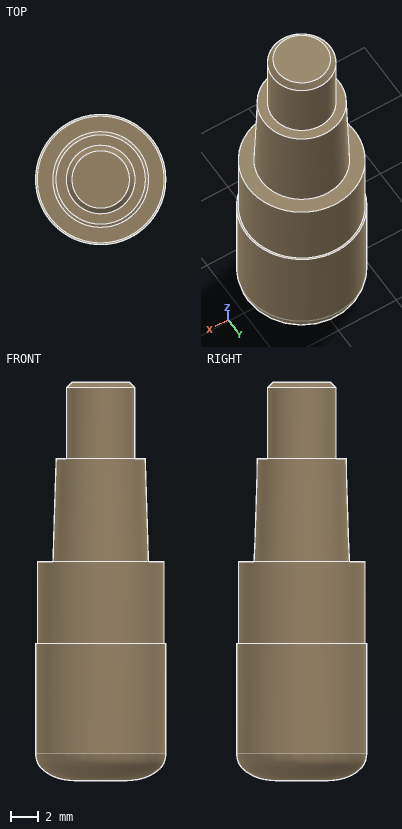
import cadquery as cq

total_height = 29.1
cone_top = 23.5
cone_base = 16.0
barrel_top = 10.05
barrel_base = 2.0
shoulder_height = 0.58

barrel_radius = 4.758
collar_radius = 4.63
cone_base_radius = 3.5
cone_top_radius = 3.25
pin_radius = 2.5
bottom_flat_radius = 1.55
shoulder_radius = 3.93

pin_chamfer = 0.4


def make_body():
    """Turned body: rounded bottom, barrel, collar and tapered nose."""
    rounded_bottom = [
        (shoulder_radius, shoulder_height),
        (barrel_radius, barrel_base),
    ]
    return (
        cq.Workplane("XZ")
        .lineTo(bottom_flat_radius, 0)
        .spline(rounded_bottom, tangents=[(1, 0), (0, 1)], includeCurrent=True)
        .lineTo(barrel_radius, barrel_top)
        .lineTo(collar_radius, barrel_top)
        .lineTo(collar_radius, cone_base)
        .lineTo(cone_base_radius, cone_base)
        .lineTo(cone_top_radius, cone_top)
        .lineTo(0, cone_top)
        .close()
        .revolve(360, (0, 0, 0), (0, 1, 0))
    )


def make_pin():
    """Cylindrical pin standing on the nose, chamfered at its free end."""
    return (
        cq.Workplane("XY")
        .workplane(offset=cone_top)
        .circle(pin_radius)
        .extrude(total_height - cone_top)
        .faces(">Z")
        .chamfer(pin_chamfer)
    )


body = make_body()
pin = make_pin()

result = cq.Compound.makeCompound([body.val(), pin.val()])